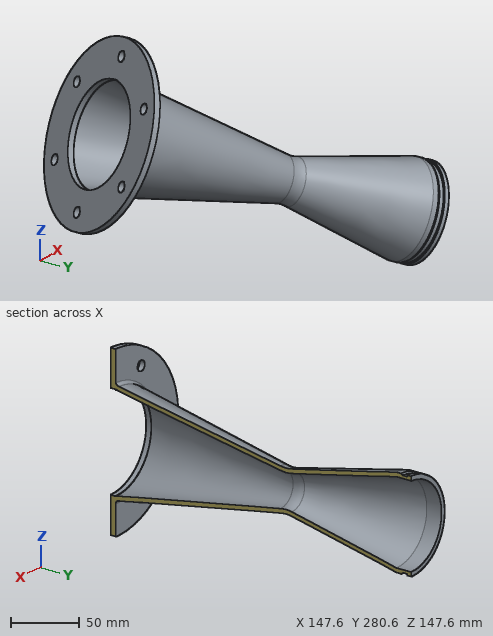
import cadquery as cq
import math

length = 280.6
wall = 4.0

flange_radius = 73.8
flange_thickness = 5.0
bolt_circle_radius = 59.5
bolt_hole_diameter = 8.5
bolt_count = 6

fillet_height = 3.0
fillet_foot_radius = 47.5
cone_base_radius = 45.2
throat_radius = 18.2
throat_center = 163.5
throat_half_length = 5.3
throat_end_radius = 18.8
collar_radius = 39.5
collar_start = 266.5

groove_start = 271.5
groove_floor_start = 273.0
groove_floor_end = 276.5
groove_end = 277.0
groove_depth = 1.0

cone_base = flange_thickness + fillet_height
throat_start = throat_center - throat_half_length
throat_end = throat_center + throat_half_length

bore_throat_radius = throat_radius - wall
bore_throat_end_radius = throat_end_radius - wall
flange_bore_radius = 41.8
bore_lip = 0.3
bore_base_radius = flange_bore_radius - bore_lip
bore_collar_radius = collar_radius - wall


def make_body():
    """Revolve the wall, from the flange to the collar, about the Y axis."""
    foot_arc_middle = (
        fillet_foot_radius - (fillet_foot_radius - cone_base_radius) * math.sin(math.pi / 4),
        cone_base - fillet_height * math.cos(math.pi / 4),
    )
    profile = (
        cq.Workplane("XY")
        .moveTo(flange_bore_radius, 0)
        .lineTo(flange_radius, 0)
        .lineTo(flange_radius, flange_thickness)
        .lineTo(fillet_foot_radius, flange_thickness)
        .threePointArc(foot_arc_middle, (cone_base_radius, cone_base))
        .lineTo(throat_end_radius, throat_start)
        .threePointArc((throat_radius, throat_center), (throat_end_radius, throat_end))
        .lineTo(collar_radius, collar_start)
        .lineTo(collar_radius, length)
        .lineTo(bore_collar_radius, length)
        .lineTo(bore_collar_radius, collar_start)
        .lineTo(bore_throat_end_radius, throat_end)
        .threePointArc((bore_throat_radius, throat_center), (bore_throat_end_radius, throat_start))
        .lineTo(bore_base_radius, flange_thickness)
        .lineTo(flange_bore_radius, flange_thickness)
        .close()
    )
    return profile.revolve(360, (0, 0, 0), (0, 1, 0))


def make_groove():
    """Ring that cuts the seal groove into the collar."""
    clearance_radius = collar_radius + 2.8
    floor_radius = collar_radius - groove_depth
    profile = (
        cq.Workplane("XY")
        .moveTo(clearance_radius, groove_start)
        .lineTo(collar_radius, groove_start)
        .lineTo(floor_radius, groove_floor_start)
        .lineTo(floor_radius, groove_floor_end)
        .lineTo(collar_radius, groove_end)
        .lineTo(clearance_radius, groove_end)
        .close()
    )
    return profile.revolve(360, (0, 0, 0), (0, 1, 0))


def make_bolt_holes():
    """Pins that cut the bolt holes through the flange."""
    return (
        cq.Workplane("XZ")
        .polarArray(bolt_circle_radius, 0, 360, bolt_count)
        .circle(bolt_hole_diameter / 2)
        .extrude(-flange_thickness)
    )


result = make_body().cut(make_groove()).cut(make_bolt_holes())